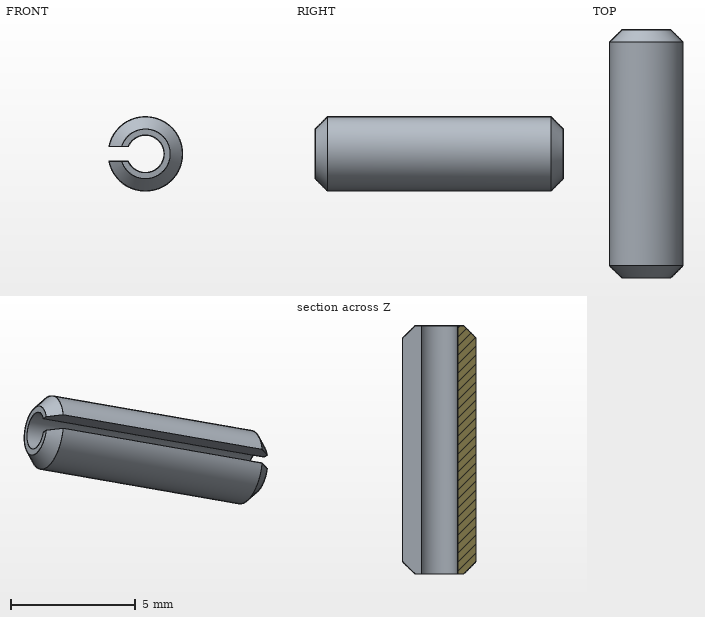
import cadquery as cq

length = 10.0
outer_diameter = 3.0
bore_diameter = outer_diameter / 2
end_chamfer = 0.5
slot_width = 0.58

outer_radius = outer_diameter / 2


def solid_pin():
    """Solid cylinder along Y with both ends chamfered."""
    cylinder = cq.Workplane("XZ").circle(outer_radius).extrude(length / 2, both=True)
    return cylinder.faces("<Y or >Y").chamfer(end_chamfer)


def bore():
    """Through hole along the pin axis."""
    return cq.Workplane("XZ").circle(bore_diameter / 2).extrude(length / 2, both=True)


def slot():
    """Full-length slot from the axis out through the -X side of the wall."""
    return cq.Workplane("XY").box(outer_radius, length, slot_width).translate((-outer_radius / 2, 0, 0))


result = solid_pin().cut(bore()).cut(slot())